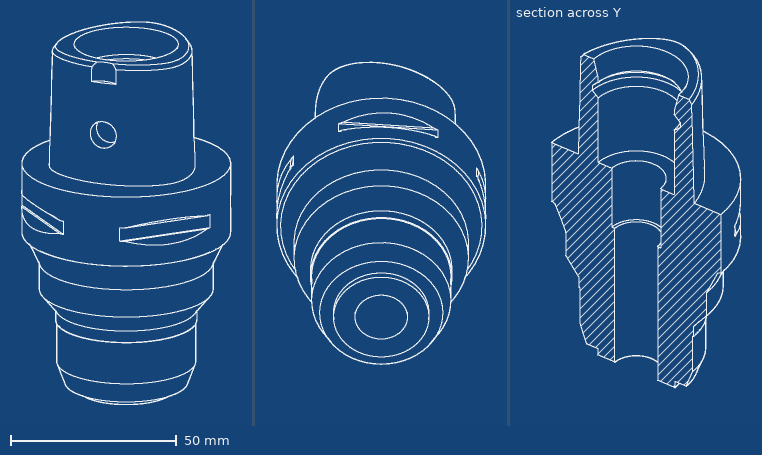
import cadquery as cq
import math

TOTAL_HEIGHT = 110.0
SHANK_LENGTH = 38.0
FLANGE_LENGTH = 22.0
SHOULDER_Z = TOTAL_HEIGHT - SHANK_LENGTH
FLANGE_BOTTOM_Z = SHOULDER_Z - FLANGE_LENGTH

SHANK_RADIUS = 22.0
LOBE_ECCENTRICITY = 0.064 * SHANK_RADIUS
TAPER_PER_LENGTH = 1 / 40
TIP_CHAMFER_HEIGHT = 1.4
TIP_CHAMFER_WIDTH = 1.0
OUTLINE_POINTS = 72

FLANGE_DIAMETER = 63.0
FLANGE_RADIUS = FLANGE_DIAMETER / 2
UPPER_CONE_RADIUS = 30.4
RELIEF_HEIGHT = 0.4
COLLAR_RADIUS = 26.3
COLLAR_TOP_Z = 40.7
COLLAR_BOTTOM_Z = 32.0
BAND_RADIUS = 21.3
BAND_TOP_Z = 25.8
NOSE_RADIUS = 21.0
NOSE_TOP_Z = 22.1
NOSE_CONE_TOP_Z = 8.9
NOSE_TIP_RADIUS = 18.6
SPIGOT_RADIUS = 14.4
SPIGOT_HEIGHT = 2.3

BORE_MOUTH_RADIUS = 15.7
BORE_RADIUS = 14.1
MOUTH_CONE_DEPTH = 6.6
GROOVE_RADIUS = 16.3
GROOVE_START_DEPTH = 8.1
GROOVE_WALL_TOP_DEPTH = 10.2
GROOVE_WALL_BOTTOM_DEPTH = 12.0
GROOVE_END_DEPTH = 13.9
BORE_DEPTH = SHANK_LENGTH
COUNTERBORE_RADIUS = 9.0
COUNTERBORE_DEPTH = SHANK_LENGTH + FLANGE_LENGTH
THROUGH_RADIUS = 7.9

KEYWAY_DEPTH = 6.0
KEYWAY_RADIUS = 6.0
KEYWAY_INNER_Y = -18.0
PIN_HOLE_RADIUS = 4.2
PIN_HOLE_DEPTH_FROM_TOP = 22.4
PIN_HOLE_FLOOR_Y = -14.5

SLOT_COUNT = 4
FIRST_SLOT_ANGLE = 45
SLOT_Z = 60.1
SLOT_FLOOR_DISTANCE = 27.7
SLOT_FLOOR_HEIGHT = 4.2
SLOT_STEP_DEPTH = 0.7
SLOT_MOUTH_HEIGHT = 7.9


def shank_outline(z, radius):
    """Closed three-lobed polygon curve at height z, with one lobe toward +Y."""
    e = LOBE_ECCENTRICITY

    def outline_point(index):
        t = 2 * math.pi * index / OUTLINE_POINTS
        x = radius * math.sin(t) + 2 * e * math.sin(2 * t) + e * math.sin(4 * t)
        y = -radius * math.cos(t) + 2 * e * math.cos(2 * t) - e * math.cos(4 * t)
        return cq.Vector(x, y, z)

    points = [outline_point(index) for index in range(OUTLINE_POINTS)]
    return cq.Wire.assembleEdges([cq.Edge.makeSpline(points, periodic=True)])


def make_shank():
    chamfer_z = TOTAL_HEIGHT - TIP_CHAMFER_HEIGHT
    chamfer_radius = SHANK_RADIUS - TAPER_PER_LENGTH * (chamfer_z - SHOULDER_Z)
    base = shank_outline(SHOULDER_Z, SHANK_RADIUS)
    chamfer_edge = shank_outline(chamfer_z, chamfer_radius)
    tip = shank_outline(TOTAL_HEIGHT, chamfer_radius - TIP_CHAMFER_WIDTH)
    taper = cq.Solid.makeLoft([base, chamfer_edge], True)
    chamfer = cq.Solid.makeLoft([chamfer_edge, tip], True)
    return cq.Workplane(obj=taper).union(cq.Workplane(obj=chamfer))


def revolve_profile(points):
    """Turn a (radius, z) profile around the Z axis."""
    return cq.Workplane("XZ").polyline(points).close().revolve(360, (0, 0), (0, 1))


def make_body():
    return revolve_profile([
        (0, SHOULDER_Z),
        (FLANGE_RADIUS, SHOULDER_Z),
        (FLANGE_RADIUS, FLANGE_BOTTOM_Z),
        (UPPER_CONE_RADIUS, FLANGE_BOTTOM_Z - RELIEF_HEIGHT),
        (COLLAR_RADIUS, COLLAR_TOP_Z),
        (COLLAR_RADIUS, COLLAR_BOTTOM_Z),
        (BAND_RADIUS, BAND_TOP_Z),
        (BAND_RADIUS, NOSE_TOP_Z),
        (NOSE_RADIUS, NOSE_TOP_Z),
        (NOSE_RADIUS, NOSE_CONE_TOP_Z),
        (NOSE_TIP_RADIUS, SPIGOT_HEIGHT),
        (SPIGOT_RADIUS, SPIGOT_HEIGHT),
        (SPIGOT_RADIUS, 0),
        (0, 0),
    ])


def make_bore():
    steps = [
        (0, 0),
        (BORE_MOUTH_RADIUS, 0),
        (BORE_RADIUS, MOUTH_CONE_DEPTH),
        (BORE_RADIUS, GROOVE_START_DEPTH),
        (GROOVE_RADIUS, GROOVE_WALL_TOP_DEPTH),
        (GROOVE_RADIUS, GROOVE_WALL_BOTTOM_DEPTH),
        (BORE_RADIUS, GROOVE_END_DEPTH),
        (BORE_RADIUS, BORE_DEPTH),
        (COUNTERBORE_RADIUS, BORE_DEPTH),
        (COUNTERBORE_RADIUS, COUNTERBORE_DEPTH),
        (THROUGH_RADIUS, COUNTERBORE_DEPTH),
        (THROUGH_RADIUS, TOTAL_HEIGHT),
        (0, TOTAL_HEIGHT),
    ]
    return revolve_profile([(radius, TOTAL_HEIGHT - depth) for radius, depth in steps])


def make_keyway():
    return (
        cq.Workplane("XY", origin=(0, KEYWAY_INNER_Y - KEYWAY_RADIUS, TOTAL_HEIGHT - KEYWAY_DEPTH))
        .circle(KEYWAY_RADIUS)
        .extrude(KEYWAY_DEPTH)
    )


def make_pin_hole():
    return (
        cq.Workplane("XZ", origin=(0, PIN_HOLE_FLOOR_Y, TOTAL_HEIGHT - PIN_HOLE_DEPTH_FROM_TOP))
        .circle(PIN_HOLE_RADIUS)
        .extrude(SHANK_RADIUS)
    )


def make_gripper_slot(angle):
    """Slot across the flange, with square sides at its floor and flared sides above."""
    half_floor = SLOT_FLOOR_HEIGHT / 2
    half_mouth = SLOT_MOUTH_HEIGHT / 2
    flare_start = SLOT_FLOOR_DISTANCE + SLOT_STEP_DEPTH
    section = [
        (SLOT_FLOOR_DISTANCE, SLOT_Z - half_floor),
        (flare_start, SLOT_Z - half_floor),
        (FLANGE_RADIUS, SLOT_Z - half_mouth),
        (FLANGE_RADIUS, SLOT_Z + half_mouth),
        (flare_start, SLOT_Z + half_floor),
        (SLOT_FLOOR_DISTANCE, SLOT_Z + half_floor),
    ]
    slot = cq.Workplane("XZ").polyline(section).close().extrude(FLANGE_RADIUS, both=True)
    return slot.rotate((0, 0, 0), (0, 0, 1), angle)


result = make_body().union(make_shank())
result = result.cut(make_bore()).cut(make_keyway()).cut(make_pin_hole())
for slot_index in range(SLOT_COUNT):
    slot_angle = FIRST_SLOT_ANGLE + slot_index * 360 / SLOT_COUNT
    result = result.cut(make_gripper_slot(slot_angle))